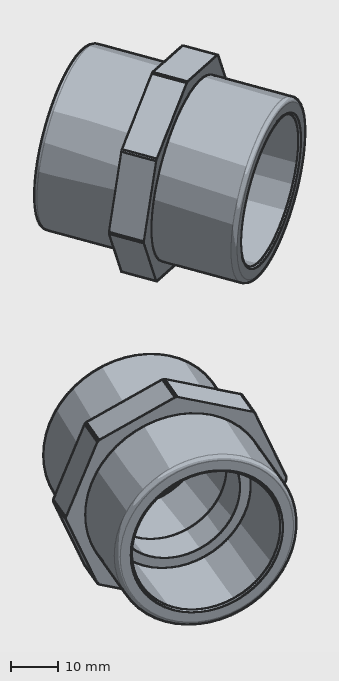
import cadquery as cq
import math

body_length = 46.2
body_diameter = 41.0
rim_radius = 1.0

collar_width = 7.95
collar_corner_diameter = 49.7
collar_across_flats = 46.1
collar_sides = 8

stop_diameter = 28.6
stop_width = 8.45
socket_diameter = 33.4
mouth_chamfer = 0.45
socket_depth = (body_length - stop_width) / 2


def cylinder_along_x(diameter, length):
    """Cylinder on the X axis, centred on the origin."""
    return cq.Workplane("YZ").circle(diameter / 2).extrude(length / 2, both=True)


def make_body():
    """Plain tube blank with rounded outer rims."""
    return cylinder_along_x(body_diameter, body_length).edges().fillet(rim_radius)


def make_collar():
    """Octagon with corners on the Y and Z axes, trimmed by a turned cylinder."""
    half_sector = 180 / collar_sides
    prism = (
        cq.Workplane("YZ")
        .polygon(collar_sides, collar_across_flats / math.cos(math.radians(half_sector)))
        .extrude(collar_width / 2, both=True)
    )
    return prism.intersect(cylinder_along_x(collar_corner_diameter, collar_width))


def make_socket():
    """Cutter for the -X socket, widening to a cone at its mouth."""
    bore_radius = socket_diameter / 2
    mouth_radius = bore_radius + mouth_chamfer
    mouth_x = -body_length / 2
    return (
        cq.Workplane("XY")
        .moveTo(mouth_x, 0)
        .lineTo(mouth_x, mouth_radius)
        .lineTo(mouth_x + mouth_chamfer, bore_radius)
        .lineTo(mouth_x + socket_depth, bore_radius)
        .lineTo(mouth_x + socket_depth, 0)
        .close()
        .revolve(360, (0, 0, 0), (1, 0, 0))
    )


left_socket = make_socket()
right_socket = left_socket.mirror("YZ")

result = (
    make_body()
    .union(make_collar())
    .cut(cylinder_along_x(stop_diameter, body_length))
    .cut(left_socket)
    .cut(right_socket)
)